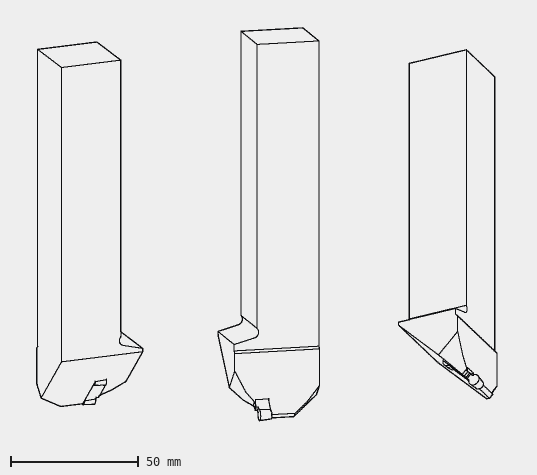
import cadquery as cq
import math

shank = 25.0
length = 150.0
head_depth = 34.3
head_step = 0.9
step_bottom = 26.8

underside = 3.9
blade_top = 6.9
blade_fillet = 1.8
nose_upper = -4.5
nose_lower = -3.1
nose_low_z = nose_lower + underside

shoulder_z = 30.3
shoulder_angle = math.radians(15)
relief_radius = 2.2
relief_depth = 0.6

front_cut_start = 5.2
front_cut_end = (-4.3, 11.0)
rear_cut = [(10.6, head_depth), (4.5, 29.8), (1.6, 26.4), (-1.6, 24.9)]
cut_reach = 15.0
cut_height = 90.0

end_radius = 2.2
tip_x = -3.3
insert_line = end_radius - tip_x
bar_height = math.sqrt(2) * (insert_line - underside)
end_pitch = 16.0
neck_length = 3.0
insert_front = 20.4
insert_back = 26.0
end_back = 25.0
side_clearance = 5.0
seat_x = 0.7

underside_plane = cq.Plane(origin=(0, 0, underside), xDir=(1, 0, 1), normal=(-1, 0, 1))


def on_xz(y):
    """Workplane at this Y with local axes X, Z; extruding goes toward -Y."""
    return cq.Workplane("XZ", origin=(0, y, 0))


def holder_blank():
    profile = (
        on_xz(head_depth)
        .moveTo(0, length)
        .lineTo(shank, length)
        .lineTo(shank, shank + underside)
        .lineTo(nose_lower, nose_low_z)
        .lineTo(nose_upper, nose_upper + blade_top)
        .lineTo(-head_step, blade_top - head_step)
        .lineTo(-head_step, step_bottom)
        .lineTo(0, step_bottom + head_step)
        .close()
    )
    corner_z = blade_top - head_step
    corner = cq.selectors.BoxSelector(
        (-head_step - 0.1, -1.5, corner_z - 0.1), (-head_step + 0.1, head_depth + 1.5, corner_z + 0.1)
    )
    return profile.extrude(head_depth).edges(corner).fillet(blade_fillet)


def shoulder_cut():
    """Space behind the shank, with an arc that undercuts the shank at the sloping shoulder."""
    sine, cosine = math.sin(shoulder_angle), math.cos(shoulder_angle)
    center_y = shank - relief_depth + relief_radius
    tangent_y = center_y - relief_radius * sine
    tangent_z = shoulder_z + (head_depth - tangent_y) * math.tan(shoulder_angle)
    center_z = tangent_z + relief_radius * cosine
    arc_top = center_z + math.sqrt(relief_radius**2 - (center_y - shank) ** 2)
    return (
        cq.Workplane("YZ", origin=(-shank, 0, 0))
        .moveTo(head_depth, shoulder_z)
        .lineTo(tangent_y, tangent_z)
        .threePointArc((center_y - relief_radius, center_z), (shank, arc_top))
        .lineTo(shank, length)
        .lineTo(head_depth, length)
        .close()
        .extrude(3 * shank)
    )


def blade_cut(points):
    """Prism square to the underside."""
    return cq.Workplane(underside_plane).polyline(points).close().extrude(cut_height, both=True)


def insert_seat():
    """Open corner of the head in which the lower end of the insert is exposed."""
    seat_bottom = nose_low_z - end_radius
    seat_top = seat_x + underside + bar_height * math.sqrt(2)
    return (
        on_xz(insert_back)
        .moveTo(seat_x, seat_top)
        .lineTo(seat_top - underside, seat_top)
        .lineTo(seat_bottom - underside, seat_bottom)
        .lineTo(-cut_reach, seat_bottom)
        .lineTo(-cut_reach, seat_top)
        .close()
        .extrude(insert_back - insert_front)
    )


def make_insert():
    half = end_pitch / 2 / math.sqrt(2)
    middle_x = tip_x + half
    middle_z = middle_x + insert_line

    def bar_piece(bar_length, back):
        return (
            on_xz(back)
            .center(middle_x, middle_z)
            .transformed(rotate=(0, 0, 45))
            .rect(bar_length, bar_height)
            .extrude(back - insert_front)
        )

    bar = bar_piece(end_pitch, end_back).union(bar_piece(end_pitch - 2 * neck_length, insert_back))
    for side in (-1, 1):
        cutting_end = (
            on_xz(end_back)
            .center(middle_x + side * half, middle_z + side * half)
            .circle(end_radius)
            .extrude(end_back - insert_front, taper=side_clearance)
        )
        bar = bar.union(cutting_end)
    return bar


def make_holder(insert):
    front_cut = [
        (front_cut_start, 0), front_cut_end, (-cut_reach, front_cut_end[1]), (-cut_reach, 0)
    ]
    rear_corner = rear_cut + [(-cut_reach, rear_cut[-1][1]), (-cut_reach, head_depth)]
    return (
        holder_blank()
        .cut(shoulder_cut())
        .cut(blade_cut(front_cut))
        .cut(blade_cut(rear_corner))
        .cut(insert_seat())
        .cut(insert)
    )


insert = make_insert()
holder = make_holder(insert)
result = cq.Compound.makeCompound([holder.solids().val(), insert.solids().val()])